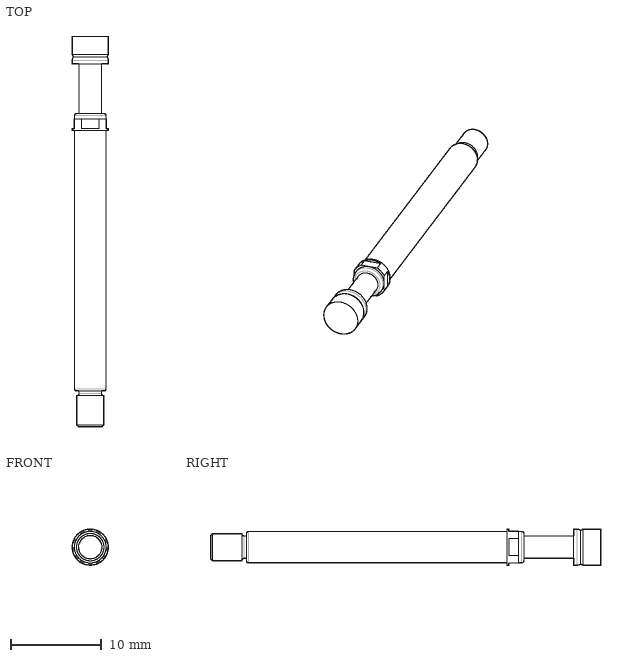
import cadquery as cq

length = 43.1

head_radius = 4.0 / 2
head_end = 2.0
groove_bottom = 2.25
groove_depth = 0.15
rim_start = 2.65
rim_end = 3.0
shaft_radius = 1.25

barrel_radius = 3.5 / 2
barrel_start = 8.5
barrel_end = 39.15
mouth_round = 0.25
tail_round = 0.2

collar_radius = head_radius
collar_start = 9.1
flat_end = 10.17
collar_end = 10.4
across_flats = 3.55

pin_radius = 1.5
neck_radius = 1.25
neck_fillet = pin_radius - neck_radius
pin_start = 39.65
tip_chamfer = 0.2


def y_at(station):
    """Y of a station, with the part centred on the origin."""
    return length / 2 - station


def turned_body():
    """Head, shaft, barrel, neck and pin as one revolved outline."""
    rim_run = rim_start - groove_bottom
    rim_curve = (rim_run**2 + groove_depth**2) / (2 * groove_depth)
    outline = (
        cq.Workplane("XY")
        .moveTo(0, y_at(0))
        .lineTo(head_radius, y_at(0))
        .lineTo(head_radius, y_at(head_end))
        .lineTo(head_radius - groove_depth, y_at(groove_bottom))
        .radiusArc((head_radius, y_at(rim_start)), rim_curve)
        .lineTo(head_radius, y_at(rim_end))
        .lineTo(shaft_radius, y_at(rim_end))
        .lineTo(shaft_radius, y_at(barrel_start))
        .lineTo(barrel_radius - mouth_round, y_at(barrel_start))
        .radiusArc((barrel_radius, y_at(barrel_start + mouth_round)), mouth_round)
        .lineTo(barrel_radius, y_at(barrel_end - tail_round))
        .radiusArc((barrel_radius - tail_round, y_at(barrel_end)), tail_round)
        .lineTo(neck_radius, y_at(barrel_end))
        .lineTo(neck_radius, y_at(pin_start - neck_fillet))
        .radiusArc((pin_radius, y_at(pin_start)), -neck_fillet)
        .lineTo(pin_radius, y_at(length - tip_chamfer))
        .lineTo(pin_radius - tip_chamfer, y_at(length))
        .lineTo(0, y_at(length))
        .close()
    )
    return outline.revolve(360, (0, 0, 0), (0, 1, 0))


def collar():
    """Round collar with four flats cut up to the rear flange."""
    def station_plane(station):
        return cq.Workplane("XZ", origin=(0, y_at(station), 0))

    flat_length = flat_end - collar_start
    square = station_plane(collar_start).rect(across_flats, across_flats).extrude(flat_length)
    flatted = station_plane(collar_start).circle(collar_radius).extrude(flat_length).intersect(square)
    flange = station_plane(flat_end).circle(collar_radius).extrude(collar_end - flat_end)
    return flatted.union(flange)


result = turned_body().union(collar())